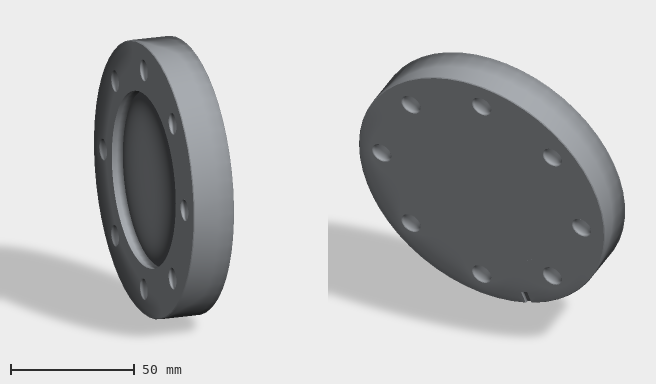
import cadquery as cq
import math

FLANGE_DIAMETER = 113.5
THICKNESS = 17.5
RIM_CHAMFER = 0.3

BOLT_COUNT = 8
BOLT_CIRCLE_DIAMETER = 92.2
BOLT_HOLE_DIAMETER = 8.4
BOLT_HOLE_CHAMFER = 0.2

WINDOW_DIAMETER = 72.4
WINDOW_RECESS = 4.8

NOTCH_WIDTH = 3.0
NOTCH_DEPTH = 1.5
NOTCH_LENGTH = 5.7
NOTCH_ANGLE = -90.0 - 180.0 / BOLT_COUNT

FRONT_Y = -THICKNESS / 2
BACK_Y = THICKNESS / 2


def cylinder(diameter, start_y, end_y):
    """Cylinder on the Y axis between two Y positions."""
    return (
        cq.Workplane("XZ", origin=(0, start_y, 0))
        .circle(diameter / 2)
        .extrude(start_y - end_y)
    )


def bolt_holes():
    """Cutters for the bolt holes, each widening to a chamfer at both faces."""
    radius = BOLT_HOLE_DIAMETER / 2
    mouth_radius = radius + BOLT_HOLE_CHAMFER
    profile = [
        (0, FRONT_Y),
        (mouth_radius, FRONT_Y),
        (radius, FRONT_Y + BOLT_HOLE_CHAMFER),
        (radius, BACK_Y - BOLT_HOLE_CHAMFER),
        (mouth_radius, BACK_Y),
        (0, BACK_Y),
    ]
    cutter = cq.Workplane("XY").polyline(profile).close().revolve(360, (0, 0), (0, 1))
    first = cutter.translate((BOLT_CIRCLE_DIAMETER / 2, 0, 0))
    cutters = cq.Workplane("XY")
    for index in range(BOLT_COUNT):
        cutters = cutters.add(first.rotate((0, 0, 0), (0, 1, 0), index * 360 / BOLT_COUNT))
    return cutters.combine()


def rim_notch():
    """Short radial groove in the back face, open at the rim."""
    flange_radius = FLANGE_DIAMETER / 2
    angle = math.radians(NOTCH_ANGLE)
    return (
        cq.Workplane("XY")
        .box(2 * NOTCH_LENGTH, 2 * NOTCH_DEPTH, NOTCH_WIDTH)
        .rotate((0, 0, 0), (0, 1, 0), -NOTCH_ANGLE)
        .translate((flange_radius * math.cos(angle), BACK_Y, flange_radius * math.sin(angle)))
    )


def make_flange():
    """Chamfered ring with a window bore, bolt holes and a rim notch."""
    plate = cylinder(FLANGE_DIAMETER, FRONT_Y, BACK_Y).edges().chamfer(RIM_CHAMFER)
    bore = cylinder(WINDOW_DIAMETER, FRONT_Y, BACK_Y)
    return plate.cut(bore).cut(bolt_holes()).cut(rim_notch())


def make_window():
    """Plain disc filling the bore behind the front recess."""
    return cylinder(WINDOW_DIAMETER, FRONT_Y + WINDOW_RECESS, BACK_Y)


flange = make_flange()
window = make_window()

result = cq.Compound.makeCompound([flange.val(), window.val()])